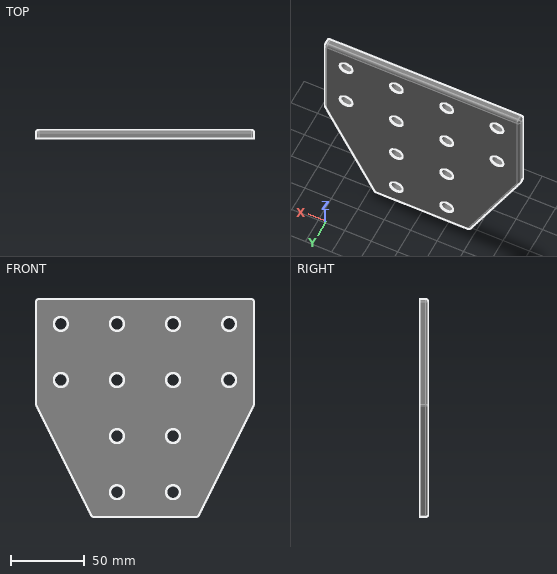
import cadquery as cq

plate_size = 148.0
thickness = 6.0
hole_pitch = 38.0
hole_diameter = 8.9
hole_chamfer = 0.5
corner_radius = 2.0
back_edge_radius = corner_radius

half_size = plate_size / 2
foot_half_width = half_size - hole_pitch
shoulder_z = 2 * hole_pitch - half_size

holes_per_side = 4
grid = [(i - (holes_per_side - 1) / 2) * hole_pitch for i in range(holes_per_side)]
inner_columns = grid[1:-1]
lower_rows = grid[:2]
upper_rows = grid[2:]


def make_plate():
    """Joining plate tapering to a narrow foot, with a flat front face and a rounded back edge."""
    outline = [
        (-half_size, half_size),
        (half_size, half_size),
        (half_size, shoulder_z),
        (foot_half_width, -half_size),
        (-foot_half_width, -half_size),
        (-half_size, shoulder_z),
    ]
    plate = cq.Workplane("XZ").polyline(outline).close().extrude(thickness)
    plate = plate.edges("|Y").fillet(corner_radius)
    return plate.faces(">Y").edges().fillet(back_edge_radius)


def drill_holes(plate):
    """Cut the bolt holes, chamfered on both faces."""
    centres = [(x, z) for z in upper_rows for x in grid]
    centres += [(x, z) for z in lower_rows for x in inner_columns]
    pins = cq.Workplane("XZ").pushPoints(centres).circle(hole_diameter / 2).extrude(thickness)
    drilled = plate.cut(pins)
    hole_rims = drilled.faces("<Y or >Y").edges("%CIRCLE").edges(
        cq.selectors.RadiusNthSelector(-1)
    )
    return hole_rims.chamfer(hole_chamfer)


result = drill_holes(make_plate()).translate((0, thickness / 2, 0))